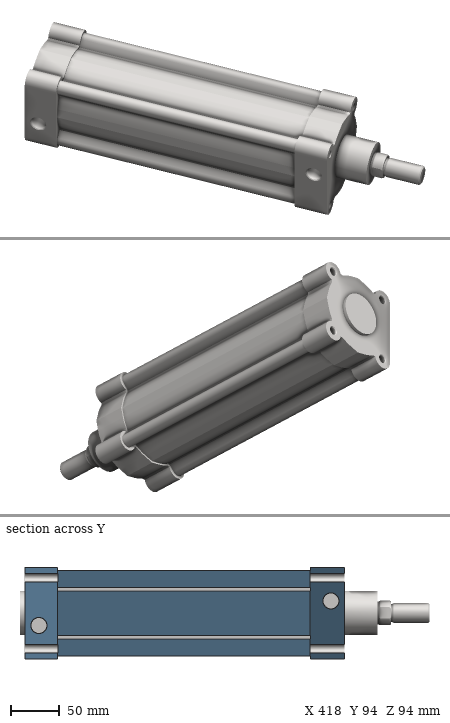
import cadquery as cq
import math

total_length = 418.0
boss_length = 4.0
rear_cap_length = 34.0
front_cap_start = 296.0
front_cap_length = 35.0
neck_length = 34.0
rear_cap_end = boss_length + rear_cap_length
front_cap_end = front_cap_start + front_cap_length
neck_end = front_cap_end + neck_length

cap_size = 94.0
lobe_radius = 11.0
lobe_offset = cap_size / 2 - lobe_radius
cap_arc_radius = 44.5
cap_ridge_angle = 14.0
cap_arc_end = 22.0

boss_radius = 22.5

barrel_arc_radius = 42.5
barrel_ridge_angle = 13.0
barrel_arc_end = 23.5
column_offset = 36.8
column_radius = 7.0

bolt_hole_radius = 4.0
bolt_hole_mouth_radius = 5.0

port_radius = 8.0
port_mouth_radius = 8.8
port_depth = 16.7
port_height = 12.5
rear_port_x = 19.0
front_port_x = 317.0

collar_radius = 12.5
collar_taper_depth = 0.63
collar_taper_length = 1.3
collar_start = neck_end + 1.3
collar_end = 378.3
rod_radius = collar_radius - collar_taper_depth
flat_start = collar_start + collar_taper_length / 2
flat_spacing = 22.0
thread_radius = 10.0
thread_start = 381.2
thread_relief_width = 1.3
thread_relief_radius = 9.0
thread_end_chamfer = 1.3


def corner_points(offset):
    return [(y * offset, z * offset) for y in (-1, 1) for z in (-1, 1)]


def section(x):
    """Workplane across the axis at station x, with local axes along Y and Z."""
    return cq.Workplane("YZ", origin=(x, 0, 0))


def ridged_core(start, length, arc_radius, ridge_angle, arc_end):
    """Four-sided bar: each side is two arcs about the axis whose tangent flats meet in a middle ridge."""
    angle = math.radians(ridge_angle)
    ridge = (0, arc_radius / math.cos(angle))
    flat_end = (arc_radius * math.sin(angle), arc_radius * math.cos(angle))
    shoulder = (arc_end, math.sqrt(arc_radius**2 - arc_end**2))
    middle_angle = (angle + math.asin(arc_end / arc_radius)) / 2
    arc_middle = (arc_radius * math.sin(middle_angle), arc_radius * math.cos(middle_angle))

    def mirrored(point):
        return (-point[0], point[1])

    core = section(start).rect(2 * shoulder[1], 2 * shoulder[1]).extrude(length)
    crown = (
        section(start)
        .moveTo(0, 0)
        .lineTo(*mirrored(shoulder))
        .threePointArc(mirrored(arc_middle), mirrored(flat_end))
        .lineTo(*ridge)
        .lineTo(*flat_end)
        .threePointArc(arc_middle, shoulder)
        .close()
        .extrude(length)
    )
    for side in range(4):
        core = core.union(crown.rotate((0, 0, 0), (1, 0, 0), 90 * side))
    return core


def corner_cylinders(start, length, offset, radius):
    """Four cylinders along the axis, one in each corner of a square about it."""
    return section(start).pushPoints(corner_points(offset)).circle(radius).extrude(length)


def port(x, z):
    """Blind hole entering the flat -Y face, with a countersunk mouth."""
    mouth_depth = port_mouth_radius - port_radius
    profile = (
        cq.Workplane("XY", origin=(x, -cap_size / 2, z))
        .lineTo(port_mouth_radius, 0)
        .lineTo(port_radius, mouth_depth)
        .lineTo(port_radius, port_depth)
        .lineTo(0, port_depth)
        .close()
    )
    return profile.revolve(360, (0, 0, 0), (0, 1, 0))


def end_cap(start, length):
    """Ridged core with a round lobe in each corner and a flat -Y side between its two lobes."""
    cap = ridged_core(start, length, cap_arc_radius, cap_ridge_angle, cap_arc_end)
    cap = cap.union(corner_cylinders(start, length, lobe_offset, lobe_radius))
    flat_side_depth = cap_size / 2
    flat_side = (
        section(start)
        .center(-flat_side_depth / 2, 0)
        .rect(flat_side_depth, 2 * lobe_offset)
        .extrude(length)
    )
    bolt_holes = corner_cylinders(start, length, lobe_offset, bolt_hole_radius)
    return cap.union(flat_side).cut(bolt_holes)


def make_rear_cap():
    """End cap with a low round boss, countersunk bolt holes and a port below the axis."""
    cap = end_cap(boss_length, rear_cap_length)
    cap = cap.union(section(0).circle(boss_radius).extrude(boss_length))
    countersink_depth = bolt_hole_mouth_radius - bolt_hole_radius
    for y, z in corner_points(lobe_offset):
        mouth = cq.Solid.makeCone(
            bolt_hole_mouth_radius,
            bolt_hole_radius,
            countersink_depth,
            pnt=cq.Vector(boss_length, y, z),
            dir=cq.Vector(1, 0, 0),
        )
        cap = cap.cut(cq.Workplane(mouth))
    return cap.cut(port(rear_port_x, -port_height))


def make_barrel():
    """Ridged bar with a round column in each corner, joined to it by a web as wide as the column."""
    length = front_cap_start - rear_cap_end
    barrel = ridged_core(rear_cap_end, length, barrel_arc_radius, barrel_ridge_angle, barrel_arc_end)
    barrel = barrel.union(corner_cylinders(rear_cap_end, length, column_offset, column_radius))
    for diagonal in (45, 135):
        web = (
            section(rear_cap_end)
            .rect(2 * column_offset * math.sqrt(2), 2 * column_radius)
            .extrude(length)
            .rotate((0, 0, 0), (1, 0, 0), diagonal)
        )
        barrel = barrel.union(web)
    return barrel


def make_front_cap():
    """End cap with a round neck, a bore for the piston rod and a port above the axis."""
    cap = end_cap(front_cap_start, front_cap_length)
    cap = cap.union(section(front_cap_end).circle(boss_radius).extrude(neck_length))
    rod_bore = section(front_cap_start).circle(rod_radius).extrude(neck_end - front_cap_start)
    return cap.cut(rod_bore).cut(port(front_port_x, port_height))


def make_piston_rod():
    """Shaft with a taper-ended collar, a conical thread relief, a chamfered thread end and wrench flats."""
    profile = (
        cq.Workplane("XY")
        .moveTo(front_cap_start, 0)
        .lineTo(front_cap_start, rod_radius)
        .lineTo(collar_start, rod_radius)
        .lineTo(collar_start + collar_taper_length, collar_radius)
        .lineTo(collar_end - collar_taper_length, collar_radius)
        .lineTo(collar_end, rod_radius)
        .lineTo(collar_end, thread_relief_radius)
        .lineTo(collar_end + thread_relief_width, thread_relief_radius)
        .lineTo(thread_start, thread_radius)
        .lineTo(total_length - thread_end_chamfer, thread_radius)
        .lineTo(total_length, thread_radius - thread_end_chamfer)
        .lineTo(total_length, 0)
        .close()
    )
    rod = profile.revolve(360, (0, 0, 0), (1, 0, 0))
    flat_length = collar_end - flat_start
    for side in (-1, 1):
        flat_cut = cq.Workplane("XY").box(flat_length, collar_radius, 2 * collar_radius).translate(
            (flat_start + flat_length / 2, side * (flat_spacing + collar_radius) / 2, 0)
        )
        rod = rod.cut(flat_cut)
    return rod


rear_cap = make_rear_cap()
barrel = make_barrel()
front_cap = make_front_cap()
piston_rod = make_piston_rod()

result = cq.Compound.makeCompound([rear_cap.val(), barrel.val(), front_cap.val(), piston_rod.val()])